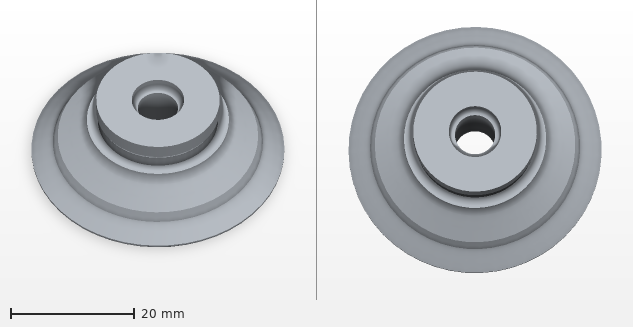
import cadquery as cq
import math

rim_diameter = 41.0
total_height = 13.0

lip_radius = 0.4

rim_height = 0.65
lower_cone_top = 2.5
step_top = 3.98
upper_cone_top = 6.48
shoulder_height = 8.05
collar_top = 10.0
flange_bottom = 10.5

step_bottom_diameter = 34.05
step_top_diameter = 32.47
flare_diameter = 24.8
shoulder_diameter = 23.05
collar_diameter = 19.5
neck_bottom_diameter = 13.5
neck_top_diameter = 14.02
flange_diameter = 20.0

neck_hollow = 0.06

bore_diameter = 6.5
counterbore_diameter = 8.5
counterbore_wall_depth = 1.1
counterbore_fillet = (counterbore_diameter - bore_diameter) / 2


def make_body():
    """Revolved cup, collar, neck and flange."""
    rim_radius = rim_diameter / 2
    base_radius = rim_radius - lip_radius
    lip_middle = (
        base_radius + lip_radius * math.sin(math.pi / 4),
        lip_radius - lip_radius * math.cos(math.pi / 4),
    )
    neck_middle = (
        (neck_bottom_diameter + neck_top_diameter) / 4 - neck_hollow,
        (collar_top + flange_bottom) / 2,
    )
    return (
        cq.Workplane("XZ")
        .moveTo(0, 0)
        .lineTo(base_radius, 0)
        .threePointArc(lip_middle, (rim_radius, lip_radius))
        .lineTo(rim_radius, rim_height)
        .lineTo(step_bottom_diameter / 2, lower_cone_top)
        .lineTo(step_top_diameter / 2, step_top)
        .lineTo(flare_diameter / 2, upper_cone_top)
        .tangentArcPoint((shoulder_diameter / 2, shoulder_height), relative=False)
        .lineTo(collar_diameter / 2, shoulder_height)
        .lineTo(collar_diameter / 2, collar_top)
        .lineTo(neck_bottom_diameter / 2, collar_top)
        .threePointArc(neck_middle, (neck_top_diameter / 2, flange_bottom))
        .lineTo(flange_diameter / 2, flange_bottom)
        .lineTo(flange_diameter / 2, total_height)
        .lineTo(0, total_height)
        .close()
        .revolve(360, (0, 0, 0), (0, 1, 0))
    )


def make_hole():
    """Through bore with a counterbore rounded down into it."""
    bore_radius = bore_diameter / 2
    counterbore_radius = counterbore_diameter / 2
    fillet_top = total_height - counterbore_wall_depth
    fillet_bottom = fillet_top - counterbore_fillet
    fillet_middle = (
        bore_radius + counterbore_fillet * math.sin(math.pi / 4),
        fillet_top - counterbore_fillet * math.cos(math.pi / 4),
    )
    return (
        cq.Workplane("XZ")
        .moveTo(0, 0)
        .lineTo(bore_radius, 0)
        .lineTo(bore_radius, fillet_bottom)
        .threePointArc(fillet_middle, (counterbore_radius, fillet_top))
        .lineTo(counterbore_radius, total_height)
        .lineTo(0, total_height)
        .close()
        .revolve(360, (0, 0, 0), (0, 1, 0))
    )


result = make_body().cut(make_hole())